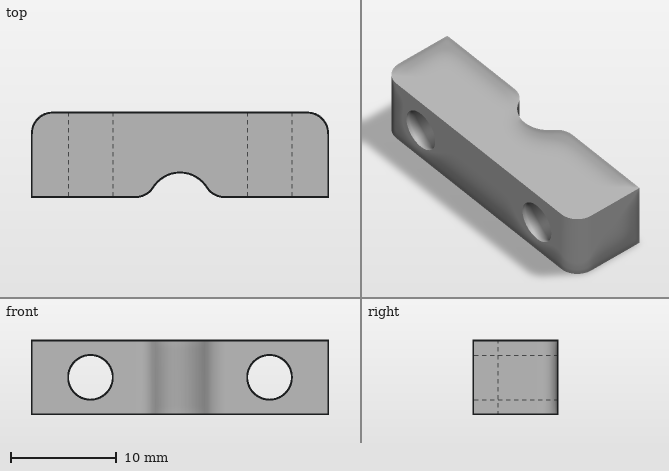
import cadquery as cq
import math

length = 28
depth = 8.0
height = 7
corner_radius = 2.0

groove_radius = 3.0
groove_depth = 2.32
blend_radius = 2.0

hole_diameter = 4.2
hole_spacing = 16.9


def groove_outline():
    """Closed XY outline of the groove, with blends tangent to the front face."""
    groove_center_y = groove_depth - groove_radius
    center_distance = groove_radius + blend_radius
    rise = blend_radius - groove_center_y
    half_width = math.sqrt(center_distance**2 - rise**2)

    share = groove_radius / center_distance
    touch_x = half_width * share
    touch_y = groove_center_y + rise * share

    half_sweep = math.atan2(half_width, rise) / 2
    blend_x = half_width - blend_radius * math.sin(half_sweep)
    blend_y = blend_radius * (1 - math.cos(half_sweep))

    return (
        cq.Workplane("XY", origin=(0, 0, -height / 2))
        .moveTo(-half_width, 0)
        .threePointArc((-blend_x, blend_y), (-touch_x, touch_y))
        .threePointArc((0, groove_depth), (touch_x, touch_y))
        .threePointArc((blend_x, blend_y), (half_width, 0))
        .close()
    )


block = (
    cq.Workplane("XY")
    .box(length, depth, height, centered=(True, False, True))
    .edges("|Z and >Y")
    .fillet(corner_radius)
)

holes = (
    cq.Workplane("XZ")
    .pushPoints([(side * hole_spacing / 2, 0) for side in (-1, 1)])
    .circle(hole_diameter / 2)
    .extrude(-depth)
)

result = block.cut(groove_outline().extrude(height)).cut(holes)